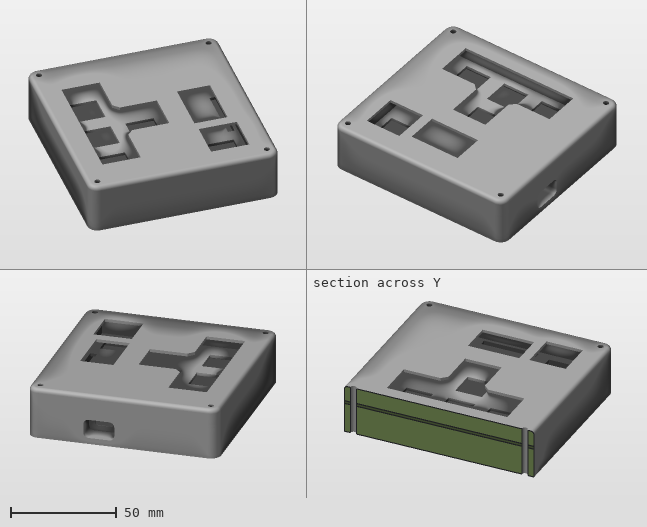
import cadquery as cq

LENGTH = 99.5
WIDTH = 94.2
HEIGHT = 25.2
CORNER_RADIUS = 5.0
TOP_FILLET = 2.1

CASE_HEIGHT = 15.6
PLATE_THICKNESS = 1.5
LID_SKIN = 1.5
CASE_FLOOR = 1.5
PLATE_TOP = CASE_HEIGHT + PLATE_THICKNESS
LID_HEIGHT = HEIGHT - PLATE_TOP

WALL = 9.95
CAVITY_LENGTH = LENGTH - 2 * WALL
CAVITY_WIDTH = WIDTH - 2 * WALL

BOARD_TOP = 11.0
BOARD_THICKNESS = 1.5
BOARD_BOTTOM = BOARD_TOP - BOARD_THICKNESS

SCREW_HOLE_DIAMETER = 2.9
SCREW_SPACING_X = LENGTH - 2 * CORNER_RADIUS
SCREW_SPACING_Y = WIDTH - 2 * CORNER_RADIUS

SWITCH_HOLE = 14.0
KEY_WINDOW = 19.0
KEY_PITCH_X = 22.0
KEY_PITCH_Y = 21.3
ARROW_X = 1.2
ARROW_ROW_Y = -26.2
ARROW_UP_Y = ARROW_ROW_Y + KEY_PITCH_Y
SINGLE_KEY_X = 29.2
SINGLE_KEY_Y = 25.9
ARROW_CORNER_CHAMFER = 2.9
SWITCH_CENTRES = [(ARROW_X + column * KEY_PITCH_X, ARROW_ROW_Y) for column in (-1, 0, 1)]
SWITCH_CENTRES += [(ARROW_X, ARROW_UP_Y), (SINGLE_KEY_X, SINGLE_KEY_Y)]

DISPLAY_X = ARROW_X
DISPLAY_Y = 24.1
DISPLAY_LENGTH = 26.9
DISPLAY_WIDTH = 16.4
PIN_SLOT_LENGTH = 28.5
PIN_SLOT_WIDTH = 3.3
PIN_SLOT_Y = DISPLAY_Y + (DISPLAY_WIDTH + PIN_SLOT_WIDTH) / 2

USB_Y = 11.7
USB_Z = 7.8
USB_RECESS_WIDTH = 15.2
USB_RECESS_HEIGHT = 9.4
USB_RECESS_RADIUS = 2.5
USB_RECESS_DEPTH = 9.5
USB_SLOT_LENGTH = 9.5
USB_SLOT_HEIGHT = 3.7
USB_SLOT_RADIUS = 1.5


def box_between(length, width, bottom, top):
    """Centred rectangular block between two heights."""
    return cq.Workplane("XY").workplane(offset=bottom).rect(length, width).extrude(top - bottom)


def rounded_slab(bottom, thickness):
    """Slab with the outer outline of the enclosure."""
    return box_between(LENGTH, WIDTH, bottom, bottom + thickness).edges("|Z").fillet(CORNER_RADIUS)


def drill_screw_holes(body):
    """Cut the four corner screw holes through the full height."""
    holes = (
        cq.Workplane("XY")
        .rect(SCREW_SPACING_X, SCREW_SPACING_Y, forConstruction=True)
        .vertices()
        .circle(SCREW_HOLE_DIAMETER / 2)
        .extrude(HEIGHT)
    )
    return body.cut(holes)


def usb_profile():
    """Workplane on the outer -X face, centred on the USB port; local X follows +Y, local Y follows +Z."""
    plane = cq.Plane(origin=(-LENGTH / 2, USB_Y, USB_Z), xDir=(0, 1, 0), normal=(1, 0, 0))
    return cq.Workplane(plane)


def make_case():
    body = rounded_slab(0, CASE_HEIGHT)
    body = body.cut(box_between(CAVITY_LENGTH, CAVITY_WIDTH, CASE_FLOOR, CASE_HEIGHT))
    recess = (
        usb_profile()
        .rect(USB_RECESS_WIDTH, USB_RECESS_HEIGHT)
        .extrude(USB_RECESS_DEPTH)
        .edges("|X")
        .fillet(USB_RECESS_RADIUS)
    )
    slot = (
        usb_profile()
        .rect(USB_SLOT_LENGTH, USB_SLOT_HEIGHT)
        .extrude(WALL)
        .edges("|X")
        .fillet(USB_SLOT_RADIUS)
    )
    return drill_screw_holes(body.cut(recess).cut(slot))


def make_board():
    return box_between(CAVITY_LENGTH, CAVITY_WIDTH, BOARD_BOTTOM, BOARD_TOP)


def make_plate():
    body = rounded_slab(CASE_HEIGHT, PLATE_THICKNESS)
    base = cq.Workplane("XY").workplane(offset=CASE_HEIGHT)
    switch_holes = base.pushPoints(SWITCH_CENTRES).rect(SWITCH_HOLE, SWITCH_HOLE).extrude(PLATE_THICKNESS)
    pin_slot = (
        base.center(DISPLAY_X, PIN_SLOT_Y).rect(PIN_SLOT_LENGTH, PIN_SLOT_WIDTH).extrude(PLATE_THICKNESS)
    )
    return drill_screw_holes(body.cut(switch_holes).cut(pin_slot))


def arrow_window_points():
    """Inverted-T outline around the arrow keys, its two inner corners chamfered."""
    half_key = KEY_WINDOW / 2
    half_row = KEY_PITCH_X + half_key
    row_bottom = ARROW_ROW_Y - half_key
    row_top = ARROW_ROW_Y + half_key
    right_side = [
        (half_row, row_bottom),
        (half_row, row_top),
        (half_key + ARROW_CORNER_CHAMFER, row_top),
        (half_key, row_top + ARROW_CORNER_CHAMFER),
        (half_key, ARROW_UP_Y + half_key),
    ]
    right = [(ARROW_X + x, y) for x, y in right_side]
    left = [(ARROW_X - x, y) for x, y in reversed(right_side)]
    return right + left


def make_lid():
    body = rounded_slab(PLATE_TOP, LID_HEIGHT).faces(">Z").edges().fillet(TOP_FILLET)
    body = body.cut(box_between(CAVITY_LENGTH, CAVITY_WIDTH, PLATE_TOP, HEIGHT - LID_SKIN))
    skin = cq.Workplane("XY").workplane(offset=HEIGHT - LID_SKIN)
    arrow_window = skin.polyline(arrow_window_points()).close().extrude(LID_SKIN)
    key_window = skin.center(SINGLE_KEY_X, SINGLE_KEY_Y).rect(KEY_WINDOW, KEY_WINDOW).extrude(LID_SKIN)
    display_window = (
        skin.center(DISPLAY_X, DISPLAY_Y).rect(DISPLAY_LENGTH, DISPLAY_WIDTH).extrude(LID_SKIN)
    )
    return drill_screw_holes(body.cut(arrow_window).cut(key_window).cut(display_window))


case = make_case()
board = make_board()
plate = make_plate()
lid = make_lid()

result = cq.Compound.makeCompound([case.val(), board.val(), plate.val(), lid.val()])